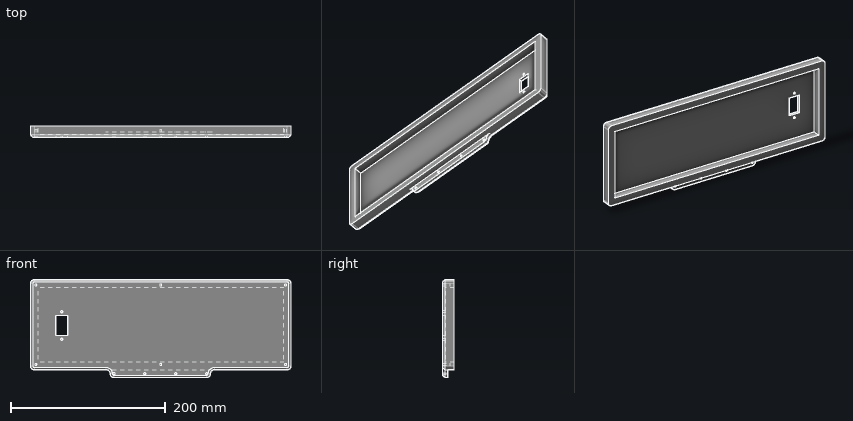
import cadquery as cq

length = 337.35
depth = 15.0
height = 126.87

tongue_drop = 10.0
tongue_center_x = -0.6
corner_radius = tongue_drop / 2
rim_chamfer = 3.0

floor_thickness = 4.0
wall_thickness = 10.0
tongue_thickness = 7.0

screw_diameter = 2.5
case_screw_depth = 10.0
case_screw_inset = 7.0
tongue_screw_count = 4
tongue_screw_pitch = 40.0
tongue_screw_inset = 5.0
tongue_screw_span = tongue_screw_pitch * (tongue_screw_count - 1)
tongue_width = tongue_screw_span + 2 * tongue_screw_inset

window_width = 15.5
window_height = 25.5
window_center_x = -128.15
window_center_z = 4.0
window_screw_pitch = 35.8

front_y = -depth / 2
back_y = depth / 2
top_z = height / 2
tongue_bottom_z = -height / 2
body_bottom_z = tongue_bottom_z + tongue_drop
body_height = height - tongue_drop
body_center_z = (top_z + body_bottom_z) / 2


def block(width, tall, center_x, center_z, start_y, end_y):
    """Rectangular block given by its X-Z rectangle and its Y range."""
    center_y = (start_y + end_y) / 2
    return cq.Workplane("XY").box(width, end_y - start_y, tall).translate((center_x, center_y, center_z))


def make_front_plate():
    """Front layer with the tongue, chamfered all round its front edge."""
    r = corner_radius
    left = -length / 2
    right = length / 2
    tongue_left = tongue_center_x - tongue_width / 2
    tongue_right = tongue_center_x + tongue_width / 2
    blend_z = body_bottom_z - r
    plate = (
        cq.Workplane("XZ", origin=(0, front_y, 0))
        .moveTo(left + r, top_z)
        .lineTo(right - r, top_z)
        .radiusArc((right, top_z - r), r)
        .lineTo(right, body_bottom_z + r)
        .radiusArc((right - r, body_bottom_z), r)
        .lineTo(tongue_right + r, body_bottom_z)
        .radiusArc((tongue_right, blend_z), -r)
        .radiusArc((tongue_right - r, tongue_bottom_z), r)
        .lineTo(tongue_left + r, tongue_bottom_z)
        .radiusArc((tongue_left, blend_z), r)
        .radiusArc((tongue_left - r, body_bottom_z), -r)
        .lineTo(left + r, body_bottom_z)
        .radiusArc((left, body_bottom_z + r), r)
        .lineTo(left, top_z - r)
        .radiusArc((left + r, top_z), r)
        .close()
        .extrude(-tongue_thickness)
    )
    return plate.faces("<Y").edges().chamfer(rim_chamfer)


def make_back_body():
    """Rounded block behind the front plate, without the tongue."""
    back = block(length, body_height, 0, body_center_z, front_y + tongue_thickness, back_y)
    return back.edges("|Y").fillet(corner_radius)


def make_cavity():
    """Pocket open at the back, leaving the front floor and the side walls."""
    return block(
        length - 2 * wall_thickness,
        body_height - 2 * wall_thickness,
        0,
        body_center_z,
        front_y + floor_thickness,
        back_y,
    )


def make_holes(points, hole_depth):
    """Round holes drilled into the front face at the given (x, z) points."""
    plane = cq.Workplane("XZ", origin=(0, front_y, 0))
    return plane.pushPoints(points).circle(screw_diameter / 2).extrude(-hole_depth)


def case_screw_points():
    """Two rows of three holes over the solid rim of the body."""
    reach_x = length / 2 - case_screw_inset
    reach_z = body_height / 2 - case_screw_inset
    columns = (-reach_x, 0, reach_x)
    rows = (body_center_z - reach_z, body_center_z + reach_z)
    return [(x, z) for x in columns for z in rows]


def tongue_screw_points():
    """One evenly spaced row along the tongue."""
    first_x = tongue_center_x - tongue_screw_span / 2
    z = tongue_bottom_z + tongue_screw_inset
    return [(first_x + i * tongue_screw_pitch, z) for i in range(tongue_screw_count)]


def window_screw_points():
    """One hole above and one below the window."""
    offset = window_screw_pitch / 2
    return [(window_center_x, window_center_z + side * offset) for side in (-1, 1)]


def make_window():
    """Rectangular opening through the floor into the cavity."""
    floor_back_y = front_y + floor_thickness
    return block(window_width, window_height, window_center_x, window_center_z, front_y, floor_back_y)


result = (
    make_front_plate()
    .union(make_back_body())
    .cut(make_cavity())
    .cut(make_window())
    .cut(make_holes(case_screw_points(), case_screw_depth))
    .cut(make_holes(tongue_screw_points(), tongue_thickness))
    .cut(make_holes(window_screw_points(), floor_thickness))
)